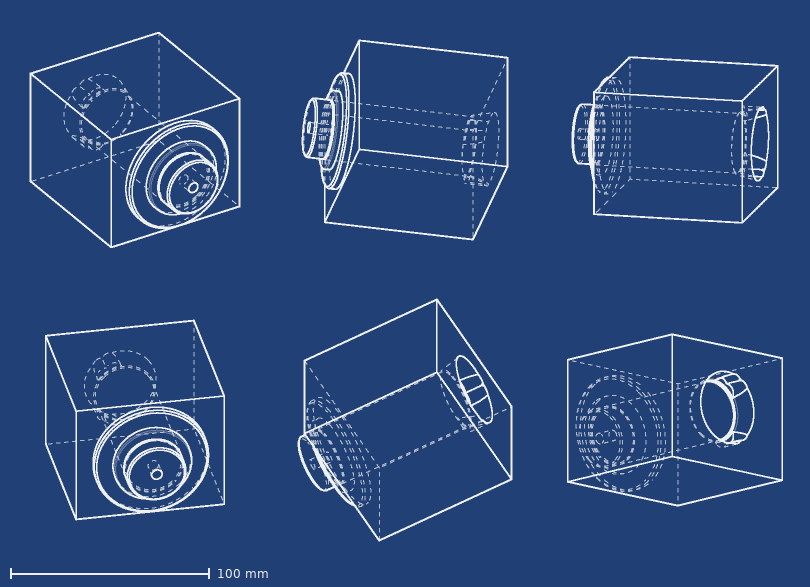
import cadquery as cq
import math

total_length = 93.85
block_width = 76.2
block_height = 63.25

flange_diameter = 58.8
flange_length = 4.25
flange_chamfer = 1.0
spigot_diameter = 40.0
spigot_length = 3.15
spigot_edge_radius = 0.6

plug_diameter = 30.1
plug_length = 9.7
plug_chamfer = 0.85
plug_hole_diameter = 5.4

nose_length = flange_length + spigot_length + plug_length
block_length = total_length - nose_length
spigot_end = total_length - plug_length

mouth_diameter = 36.8
mouth_depth = 9.6
seat_start_diameter = 32.4
seat_end_diameter = 31.6
seat_end_depth = 10.95
lead_in_depth = 11.25
bore_diameter = plug_diameter

pocket_diameter = 9.0
pocket_pitch_radius = 14.5
pocket_angles = (49, 69)
pocket_depth = 10.3


def disc(diameter, start, length):
    """Cylinder on the X axis."""
    return cq.Workplane("YZ").workplane(offset=start).circle(diameter / 2).extrude(length)


def make_bore():
    half_section = [
        (0, 0),
        (0, mouth_diameter / 2),
        (mouth_depth, seat_start_diameter / 2),
        (seat_end_depth, seat_end_diameter / 2),
        (lead_in_depth, bore_diameter / 2),
        (spigot_end, bore_diameter / 2),
        (spigot_end, 0),
    ]
    return cq.Workplane("XY").polyline(half_section).close().revolve(360, (0, 0, 0), (1, 0, 0))


def make_pockets():
    """Round pockets on both sides of the bore; angles are measured from the -Y direction."""
    pockets = cq.Workplane("YZ")
    for side in (1, -1):
        for angle in pocket_angles:
            turn = math.radians(angle)
            y = -pocket_pitch_radius * math.cos(turn)
            z = side * pocket_pitch_radius * math.sin(turn)
            pockets = pockets.union(disc(pocket_diameter, 0, pocket_depth).translate((0, y, z)))
    return pockets


def make_housing():
    block = cq.Workplane("YZ").rect(block_width, block_height).extrude(block_length)
    flange = disc(flange_diameter, block_length, flange_length)
    flange = flange.faces(">X").edges().chamfer(flange_chamfer)
    spigot = disc(spigot_diameter, block_length + flange_length, spigot_length)
    spigot = spigot.faces(">X").edges().fillet(spigot_edge_radius)
    body = block.union(flange).union(spigot)
    return body.cut(make_bore()).cut(make_pockets())


def make_plug():
    plug = disc(plug_diameter, spigot_end, plug_length).edges().chamfer(plug_chamfer)
    return plug.cut(disc(plug_hole_diameter, spigot_end, plug_length))


housing = make_housing()
plug = make_plug()

result = cq.Compound.makeCompound([housing.val(), plug.val()])